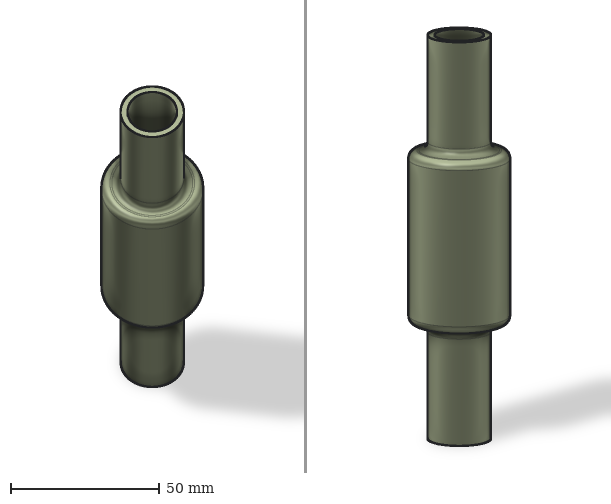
import cadquery as cq

total_length = 140.0
tube_diameter = 21.4
bore_diameter = 16.7

body_diameter = 34.5
body_length = 60.0
rim_radius = 3.0
neck_radius = 3.0

tube_radius = tube_diameter / 2
bore_radius = bore_diameter / 2
body_radius = body_diameter / 2
body_bottom = (total_length - body_length) / 2
body_top = body_bottom + body_length

ring_inner = tube_radius + neck_radius
ring_outer = body_radius - rim_radius

half_section = (
    cq.Workplane("XZ")
    .moveTo(bore_radius, 0)
    .lineTo(tube_radius, 0)
    .lineTo(tube_radius, body_bottom - neck_radius)
    .radiusArc((ring_inner, body_bottom), neck_radius)
    .lineTo(ring_outer, body_bottom)
    .radiusArc((body_radius, body_bottom + rim_radius), -rim_radius)
    .lineTo(body_radius, body_top - rim_radius)
    .radiusArc((ring_outer, body_top), -rim_radius)
    .lineTo(ring_inner, body_top)
    .radiusArc((tube_radius, body_top + neck_radius), neck_radius)
    .lineTo(tube_radius, total_length)
    .lineTo(bore_radius, total_length)
    .close()
)

result = half_section.revolve(360, (0, 0, 0), (0, 1, 0))